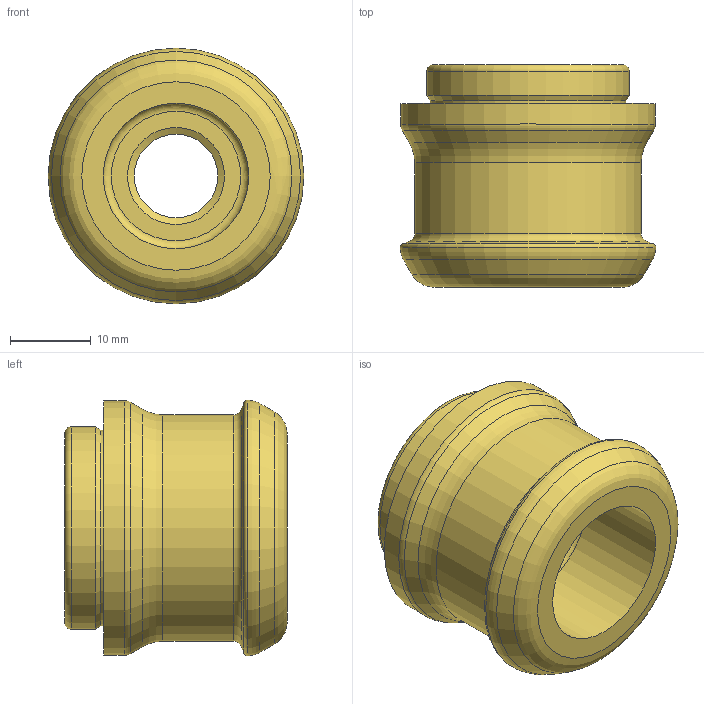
import cadquery as cq
import math

total_length = 27.5
flange_back = 22.7
flange_rim_front = 20.15
rim_crest = 4.9
bore_depth = 13.0

rim_radius = 31.6 / 2
body_radius = 28.0 / 2
flange_radius = 31.5 / 2
spigot_radius = 25.0 / 2
relief_radius = 12.1
bore_radius = 18.0 / 2
hole_radius = 10.3 / 2
countersink_radius = 12.0 / 2

taper_angle = math.radians(30)
countersink_slope = math.radians(30)
rim_back_angle = math.radians(20)

nose_blend = 3.1
rim_front_blend = 3.0
rim_back_blend = 0.5
rim_cove = 1.0
flange_cove = 5.0
flange_blend = 1.5
spigot_blend = 0.8
bore_floor_blend = 1.0

relief_width = 0.33
relief_ramp_length = 0.7

TOLERANCE = 1e-6
FULL_TURN = 360


def tangent_length(blend, turn):
    """Distance from a sharp corner to where its blend begins, for a given change of direction."""
    return blend * math.tan(turn / 2)


def blend_points(before, corner, after, blend):
    """Start, middle and end of the arc that rounds a corner."""
    corner = cq.Vector(*corner)
    toward_before = (cq.Vector(*before) - corner).normalized()
    toward_after = (cq.Vector(*after) - corner).normalized()
    half_angle = toward_before.getAngle(toward_after) / 2
    setback = blend / math.tan(half_angle)
    bisector = (toward_before + toward_after).normalized()
    middle = corner + bisector * (blend / math.sin(half_angle) - blend)
    return corner + toward_before * setback, middle, corner + toward_after * setback


def revolved(corners):
    """Solid of revolution about Y from (radius, y, blend) corners; the first corner is sharp."""
    points = [(radius, y) for radius, y, _ in corners]
    profile = cq.Workplane("XY").moveTo(*points[0])
    pen = cq.Vector(*points[0])
    for i in range(1, len(corners)):
        blend = corners[i][2]
        start = end = cq.Vector(*points[i])
        if blend:
            following = points[(i + 1) % len(points)]
            start, middle, end = blend_points(points[i - 1], points[i], following, blend)
        if (start - pen).Length > TOLERANCE:
            profile = profile.lineTo(start.x, start.y)
        if blend:
            profile = profile.threePointArc((middle.x, middle.y), (end.x, end.y))
        pen = end
    return profile.close().revolve(FULL_TURN, (0, 0, 0), (0, 1, 0))


def outer_body():
    rim_front = rim_crest - tangent_length(rim_front_blend, taper_angle)
    rim_back = rim_crest + tangent_length(rim_back_blend, math.pi / 2 - rim_back_angle)
    nose_radius = rim_radius - rim_front * math.tan(taper_angle)
    body_front = rim_back + (rim_radius - body_radius) * math.tan(rim_back_angle)

    taper_back = flange_rim_front - tangent_length(flange_blend, taper_angle)
    body_back = taper_back - (flange_radius - body_radius) / math.tan(taper_angle)

    relief_back = flange_back + relief_width
    spigot_front = relief_back + relief_ramp_length
    return revolved([
        (0, 0, 0),
        (nose_radius, 0, nose_blend),
        (rim_radius, rim_front, rim_front_blend),
        (rim_radius, rim_back, rim_back_blend),
        (body_radius, body_front, rim_cove),
        (body_radius, body_back, flange_cove),
        (flange_radius, taper_back, flange_blend),
        (flange_radius, flange_back, 0),
        (relief_radius, flange_back, 0),
        (relief_radius, relief_back, 0),
        (spigot_radius, spigot_front, 0),
        (spigot_radius, total_length, spigot_blend),
        (0, total_length, 0),
    ])


def stepped_bore():
    countersink_depth = (countersink_radius - hole_radius) * math.tan(countersink_slope)
    return revolved([
        (0, 0, 0),
        (bore_radius, 0, 0),
        (bore_radius, bore_depth, bore_floor_blend),
        (countersink_radius, bore_depth, 0),
        (hole_radius, bore_depth + countersink_depth, 0),
        (hole_radius, total_length, 0),
        (0, total_length, 0),
    ])


result = outer_body().cut(stepped_bore())